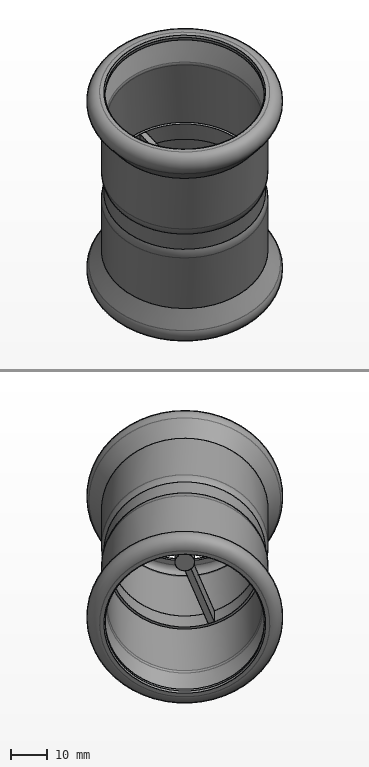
import cadquery as cq
import math

LENGTH = 71.0
WALL = 1.5

SLEEVE_RADIUS = 45.4 / 2
GROOVE_RADIUS = 44.0 / 2
GROOVE_HALF_WIDTH = 2.9
SHOULDER_HEIGHT = 2.6

BEAD_DIAMETER = 53.3
BEAD_ROUND = 7.0 / 2
MOUTH_RADIUS = 43.3 / 2
MOUTH_CHAMFER_WIDTH = 0.35
MOUTH_CHAMFER_DEPTH = 0.6
FLARE_ANGLE = 33.5

HUB_DIAMETER = 5.4
SPOKE_WIDTH = 1.8

BAND_HEIGHT = 2 * GROOVE_HALF_WIDTH
HALF_LENGTH = LENGTH / 2
BORE_RADIUS = SLEEVE_RADIUS - WALL
STOP_RADIUS = GROOVE_RADIUS - WALL
BEAD_CENTER_R = BEAD_DIAMETER / 2 - BEAD_ROUND
BEAD_CENTER_Z = HALF_LENGTH - BEAD_ROUND
CAVITY_ROUND = BEAD_ROUND - WALL


def bead_point(radius, angle):
    """Point (r, z) on a circle about the bead centre, angle in degrees from +r."""
    turn = math.radians(angle)
    return (BEAD_CENTER_R + radius * math.cos(turn), BEAD_CENTER_Z + radius * math.sin(turn))


def make_socket():
    """Upper socket of the pressed sleeve, above the groove, revolved from its wall section."""
    flare_top = bead_point(BEAD_ROUND, -FLARE_ANGLE)
    flare_drop = (flare_top[0] - SLEEVE_RADIUS) / math.tan(math.radians(FLARE_ANGLE))
    flare_foot_z = flare_top[1] - flare_drop

    def bend_point(angle):
        turn = math.radians(angle)
        return (SLEEVE_RADIUS - WALL * math.cos(turn), flare_foot_z + WALL * math.sin(turn))

    shoulder_depth = SLEEVE_RADIUS - GROOVE_RADIUS
    shoulder_round = (SHOULDER_HEIGHT**2 + shoulder_depth**2) / (2 * shoulder_depth)
    shoulder_top_z = GROOVE_HALF_WIDTH + SHOULDER_HEIGHT
    half_turn = math.asin(SHOULDER_HEIGHT / shoulder_round) / 2
    shoulder_middle = (
        SLEEVE_RADIUS - shoulder_round * (1 - math.cos(half_turn)),
        shoulder_top_z - shoulder_round * math.sin(half_turn),
    )
    arc_middle = (90 - FLARE_ANGLE) / 2

    section = (
        cq.Workplane("XZ")
        .moveTo(GROOVE_RADIUS, GROOVE_HALF_WIDTH)
        .threePointArc(shoulder_middle, (SLEEVE_RADIUS, shoulder_top_z))
        .lineTo(SLEEVE_RADIUS, flare_foot_z)
        .lineTo(*flare_top)
        .threePointArc(bead_point(BEAD_ROUND, arc_middle), bead_point(BEAD_ROUND, 90))
        .lineTo(MOUTH_RADIUS + MOUTH_CHAMFER_WIDTH, HALF_LENGTH)
        .lineTo(MOUTH_RADIUS, HALF_LENGTH - MOUTH_CHAMFER_DEPTH)
        .lineTo(MOUTH_RADIUS, HALF_LENGTH - WALL)
        .lineTo(*bead_point(CAVITY_ROUND, 90))
        .threePointArc(bead_point(CAVITY_ROUND, arc_middle), bead_point(CAVITY_ROUND, -FLARE_ANGLE))
        .lineTo(*bend_point(FLARE_ANGLE))
        .threePointArc(bend_point(FLARE_ANGLE / 2), (BORE_RADIUS, flare_foot_z))
        .lineTo(BORE_RADIUS, GROOVE_HALF_WIDTH)
        .close()
    )
    return section.revolve(360, (0, 0, 0), (0, 1, 0))


def band_cylinder(radius):
    """Cylinder on the axis, as tall as the grooved band."""
    return cq.Workplane("XY", origin=(0, 0, -GROOVE_HALF_WIDTH)).circle(radius).extrude(BAND_HEIGHT)


def make_sleeve():
    """Complete sleeve: two mirrored sockets joined by the grooved band that forms the inner stop."""
    upper_socket = make_socket()
    band = band_cylinder(GROOVE_RADIUS).cut(band_cylinder(STOP_RADIUS))
    return band.union(upper_socket).union(upper_socket.mirror("XY"))


def make_spoke(side):
    """Flat spoke from the axis to the stop bore, on the +X (1) or -X (-1) side."""
    blank = cq.Workplane("XY").box(SLEEVE_RADIUS, SPOKE_WIDTH, BAND_HEIGHT)
    blank = blank.translate((side * SLEEVE_RADIUS / 2, 0, 0))
    return blank.intersect(band_cylinder(STOP_RADIUS))


def make_hub_with_spoke():
    """Round hub carrying the +X spoke."""
    return band_cylinder(HUB_DIAMETER / 2).union(make_spoke(1))


def make_loose_spoke():
    """The -X spoke, hollowed at its inner end to fit the hub."""
    return make_spoke(-1).cut(band_cylinder(HUB_DIAMETER / 2))


sleeve = make_sleeve()
hub_with_spoke = make_hub_with_spoke()
loose_spoke = make_loose_spoke()

result = cq.Compound.makeCompound([sleeve.val(), hub_with_spoke.val(), loose_spoke.val()])